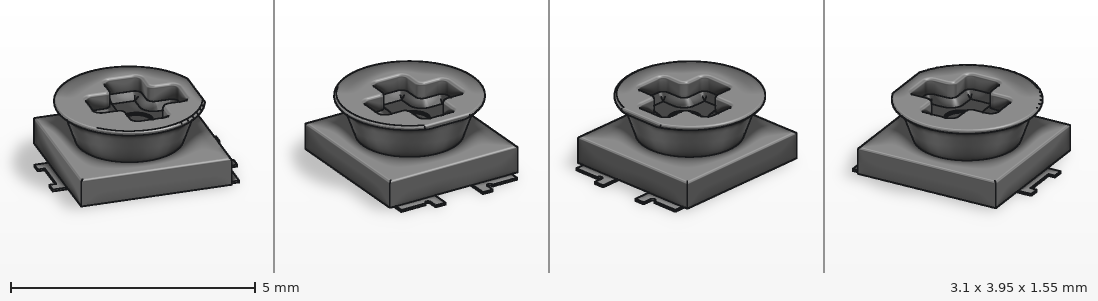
import cadquery as cq


body_width = 3.1
body_length = 3.25
body_top = 0.648
edge_radius = 0.05
body_front_y = -body_width / 2
body_center_y = body_front_y + body_length / 2

plate_thickness = 0.047

rim_radius = body_width / 2
rim_thickness = 0.1
rim_flat_y = 1.45
skirt_radius_bottom = 1.118
skirt_radius_top = 1.4
rotor_top = 1.55
rim_bottom = rotor_top - rim_thickness
rim_edge_radius = rim_thickness / 2

cross_center_y = 0.15
cross_half_length = 1.0
cross_half_width = 0.4
cross_corner_radius = 0.15
cross_depth = 0.5
cross_floor_chamfer = cross_corner_radius
cross_lip_radius = 0.07
cross_floor = rotor_top - cross_depth

dimple_diameter = 0.64
dimple_depth = 0.05
dimple_chamfer = 0.025

rear_inner_x = 0.455
rear_leg_outer_x = 0.69
rear_outer_x = 1.402
rear_leg_y = 2.097
rear_shoulder_y = 1.905
rear_front_y = 1.305
relief_diameter = 0.12
relief_center_y = 1.892
tab_radius = 0.15
tab_center_x = 1.155

overall_length = 3.95
leg_end_y = rear_leg_y - overall_length
leg_notch_y = -1.702
leg_notch_half_width = 0.375
strip_half_width = 0.61
pad_half_width = 0.745
pad_chamfer = 0.1
pad_front_y = -0.55
pad_rear_y = 0.348



def plate(outline):
    """Extrude a closed XY outline to the terminal thickness."""
    return outline.extrude(plate_thickness)


def make_body():
    block = cq.Workplane("XY", origin=(0, body_center_y, plate_thickness))
    block = block.rect(body_width, body_length).extrude(body_top - plate_thickness)
    return block.faces(">Z").edges().fillet(edge_radius)


def make_skirt():
    profile = [
        (0, body_top),
        (skirt_radius_bottom, body_top),
        (skirt_radius_top, rim_bottom),
        (0, rim_bottom),
    ]
    return cq.Workplane("XZ").polyline(profile).close().revolve(360, (0, 0), (0, 1))


def make_rim():
    """Disc with a fully rounded edge, cut off at the rear by a flat with a rounded top edge."""
    edge_center = rim_radius - rim_edge_radius
    disc = (
        cq.Workplane("XZ")
        .moveTo(0, rim_bottom)
        .lineTo(edge_center, rim_bottom)
        .threePointArc((rim_radius, rim_bottom + rim_edge_radius), (edge_center, rotor_top))
        .lineTo(0, rotor_top)
        .close()
        .revolve(360, (0, 0), (0, 1))
    )
    flat_block = cq.Workplane("XY", origin=(0, rim_flat_y - rim_radius, rim_bottom))
    flat_block = flat_block.rect(2 * rim_radius, 2 * rim_radius).extrude(rim_thickness)
    flat_block = flat_block.edges(">Y and >Z").fillet(rim_edge_radius)
    return disc.intersect(flat_block)


def make_cross_cutter():
    base = cq.Workplane("XY", origin=(0, cross_center_y, cross_floor))
    arm_x = base.rect(2 * cross_half_length, 2 * cross_half_width).extrude(cross_depth)
    arm_y = base.rect(2 * cross_half_width, 2 * cross_half_length).extrude(cross_depth)
    cutter = arm_x.union(arm_y).edges("|Z").fillet(cross_corner_radius)
    return cutter.faces("<Z").chamfer(cross_floor_chamfer)


def make_dimple_cutter():
    radius = dimple_diameter / 2
    profile = [
        (0, -dimple_depth),
        (radius, -dimple_depth),
        (radius, -dimple_chamfer),
        (radius + dimple_chamfer, 0),
        (0, 0),
    ]
    cutter = cq.Workplane("XZ").polyline(profile).close().revolve(360, (0, 0), (0, 1))
    return cutter.translate((0, cross_center_y, cross_floor))


def make_rotor():
    rotor = make_skirt().union(make_rim()).cut(make_cross_cutter())
    reach = cross_half_length + cross_lip_radius
    lip_box = cq.selectors.BoxSelector(
        (-reach, cross_center_y - reach, rotor_top - cross_lip_radius),
        (reach, cross_center_y + reach, rotor_top + cross_lip_radius),
        boundingbox=True,
    )
    rotor = rotor.faces(">Z").edges(lip_box).fillet(cross_lip_radius)
    return rotor.cut(make_dimple_cutter())


def make_rear_terminal():
    relief_radius = relief_diameter / 2
    relief_center_x = rear_leg_outer_x + relief_radius
    return plate(
        cq.Workplane("XY")
        .moveTo(rear_inner_x, rear_front_y)
        .lineTo(rear_inner_x, rear_leg_y)
        .lineTo(rear_leg_outer_x, rear_leg_y)
        .lineTo(rear_leg_outer_x, relief_center_y)
        .threePointArc(
            (relief_center_x, relief_center_y - relief_radius),
            (relief_center_x + relief_radius, relief_center_y),
        )
        .lineTo(relief_center_x + relief_radius, rear_shoulder_y)
        .lineTo(rear_outer_x, rear_shoulder_y)
        .lineTo(rear_outer_x, rear_front_y)
        .lineTo(tab_center_x + tab_radius, rear_front_y)
        .threePointArc(
            (tab_center_x, rear_front_y - tab_radius),
            (tab_center_x - tab_radius, rear_front_y),
        )
        .close()
    )


def make_front_terminal():
    right_half = [
        (leg_notch_half_width, leg_notch_y),
        (leg_notch_half_width, leg_end_y),
        (strip_half_width, leg_end_y),
        (strip_half_width, pad_front_y),
        (pad_half_width - pad_chamfer, pad_front_y),
        (pad_half_width, pad_front_y + pad_chamfer),
        (pad_half_width, pad_rear_y - pad_chamfer),
        (pad_half_width - pad_chamfer, pad_rear_y),
    ]
    left_half = [(-x, y) for x, y in reversed(right_half)]
    return plate(cq.Workplane("XY").polyline(right_half + left_half).close())


rear_terminal = make_rear_terminal()

result = (
    make_body()
    .union(make_rotor())
    .union(make_front_terminal())
    .union(rear_terminal)
    .union(rear_terminal.mirror("YZ"))
)